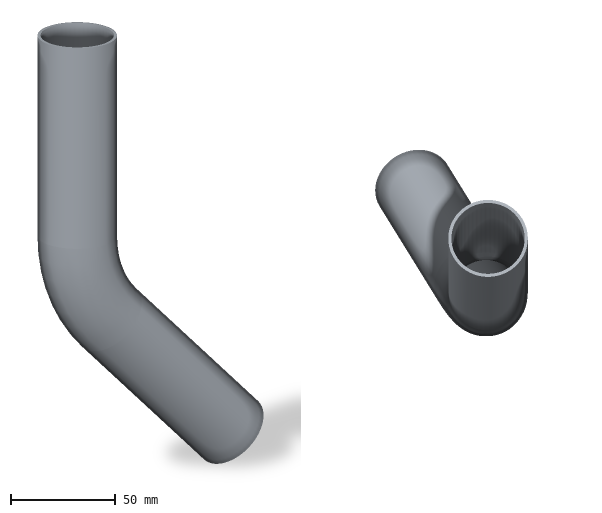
import cadquery as cq
import math

outer_diameter = 38.0
inner_diameter = 35.0
total_height = 231.8
bend_radius = 64.0
bend_angle = 45.0

angle = math.radians(bend_angle)
bend_and_rim_height = (bend_radius + outer_diameter / 2) * math.sin(angle)
leg_length = (total_height - bend_and_rim_height) / (1 + math.cos(angle))


def bend_point(turn):
    """Centerline point (Y, Z) after turning from the vertical leg toward +Y."""
    y = bend_radius * (1 - math.cos(turn))
    z = -bend_radius * math.sin(turn)
    return y, z


bend_end_y, bend_end_z = bend_point(angle)
slanted_end = (
    bend_end_y + leg_length * math.sin(angle),
    bend_end_z - leg_length * math.cos(angle),
)
centerline = (
    cq.Workplane("YZ")
    .moveTo(0, leg_length)
    .lineTo(0, 0)
    .threePointArc(bend_point(angle / 2), (bend_end_y, bend_end_z))
    .lineTo(*slanted_end)
)

result = (
    cq.Workplane("XY", origin=(0, 0, leg_length))
    .circle(outer_diameter / 2)
    .circle(inner_diameter / 2)
    .sweep(centerline)
)